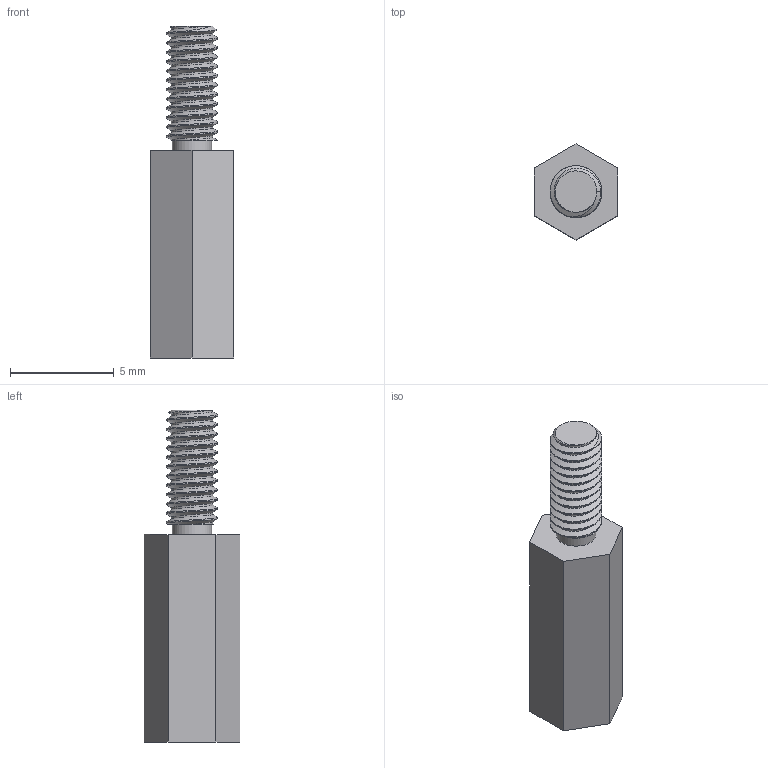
import cadquery as cq
import math

across_flats = 4.0
body_length = 10.0
across_corners = across_flats / math.cos(math.radians(30))

neck_diameter = 1.9
neck_length = 0.5

thread_diameter = 2.5
pitch = 0.45
flank_half_angle = math.radians(30)
root_diameter = 2.0
crest_width = pitch / 8
stud_length = 6.0
tip_chamfer = 0.25
crest_offset = -0.045

groove_overshoot = 0.04
spare_turns = 2

thread_start = body_length + neck_length
thread_end = body_length + stud_length
thread_length = thread_end - thread_start


def make_body():
    """Hexagonal prism with two corners on the Y axis."""
    return (
        cq.Workplane("XY")
        .polygon(6, across_corners)
        .extrude(body_length)
        .rotate((0, 0, 0), (0, 0, 1), 90)
    )


def make_neck():
    """Plain cylinder joining the body to the threaded core."""
    return (
        cq.Workplane("XY")
        .workplane(offset=body_length)
        .circle(neck_diameter / 2)
        .extrude(neck_length)
    )


def make_thread_blank():
    """Cylinder at the crest diameter, chamfered at the tip."""
    return (
        cq.Workplane("XY")
        .workplane(offset=thread_start)
        .circle(thread_diameter / 2)
        .extrude(thread_length)
        .faces(">Z")
        .chamfer(tip_chamfer)
    )


def make_groove():
    """Right-handed helical groove cutter, running past both ends of the thread."""
    root_radius = root_diameter / 2
    crest_radius = thread_diameter / 2
    outer_radius = crest_radius + groove_overshoot

    def half_width(radius):
        crest_gap = pitch - crest_width
        return crest_gap / 2 - (crest_radius - radius) * math.tan(flank_half_angle)

    turns = math.ceil(thread_length / pitch) + spare_turns
    helix = cq.Wire.makeHelix(pitch, turns * pitch, root_radius)
    groove = (
        cq.Workplane("XZ")
        .moveTo(root_radius, -half_width(root_radius))
        .lineTo(outer_radius, -half_width(outer_radius))
        .lineTo(outer_radius, half_width(outer_radius))
        .lineTo(root_radius, half_width(root_radius))
        .close()
        .sweep(cq.Workplane(obj=helix), isFrenet=True)
    )
    groove_start = thread_start + crest_offset - pitch / 2
    return groove.translate((0, 0, groove_start))


thread = make_thread_blank().cut(make_groove())
result = make_body().union(make_neck()).union(thread)